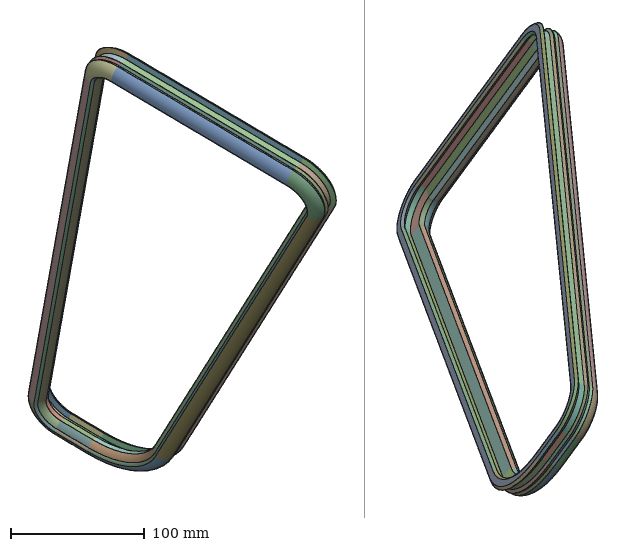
import cadquery as cq
import math

width = 274.0
height = 521.0
depth = 23.5

small_radius = 30.0
large_radius = 77.0
top_left_shift = 52.0
large_corner_shift = 29.5

left_center = small_radius
right_center = width - small_radius
top_center = height - small_radius

corners = [
    (left_center, small_radius, small_radius),
    (left_center + top_left_shift, top_center, small_radius),
    (right_center, top_center, small_radius),
    (left_center + large_corner_shift, large_radius, large_radius),
]

flange_width = 10.0
lip_tip = 2.0
lip_end = 4.5
back_inset = 2.0
groove_depth = 3.5
groove_front = 9.5
rib_inset = 1.0
rear_rib = 11.0
front_rib = 15.0
notch_inset = 2.5
notch = (rear_rib + front_rib) / 2
crest_inset = 11.0
nose_size = 2.0
nose_bulge = 0.25
inner_side = 16.5
inner_side_front = 15.5
inner_bulge = 0.5
shoulder_inset = 15.5
shoulder_back = 11.5


def tangent_angle(start, end):
    """Angle of the outward normal on the outer tangent line of two corners."""
    run = end[0] - start[0]
    rise = end[1] - start[1]
    lean = math.acos((start[2] - end[2]) / math.hypot(run, rise))
    return math.atan2(rise, run) + lean


def corner_point(corner, angle):
    x, z, radius = corner
    return (x + radius * math.cos(angle), z + radius * math.sin(angle))


def outer_outline():
    """Closed line of tangents and corner arcs, starting halfway up the left side."""
    next_corners = corners[1:] + corners[:1]
    normals = [tangent_angle(corner, following) for corner, following in zip(corners, next_corners)]
    side_bottom = corner_point(corners[0], normals[0])
    side_top = corner_point(corners[1], normals[0])
    start = ((side_bottom[0] + side_top[0]) / 2, (side_bottom[1] + side_top[1]) / 2)
    outline = cq.Workplane("XZ").moveTo(*start)
    for i in (1, 2, 3, 0):
        turn = (normals[i - 1] - normals[i]) % (2 * math.pi)
        outline = outline.lineTo(*corner_point(corners[i], normals[i - 1]))
        outline = outline.threePointArc(
            corner_point(corners[i], normals[i] + turn / 2),
            corner_point(corners[i], normals[i]),
        )
    return outline.close(), start, normals[0]


def section(plane):
    """Closed section; local x runs inward from the outline, local y runs to the front."""
    inner_floor = flange_width - groove_depth
    front_width = crest_inset - rib_inset
    front_height = depth - front_rib
    front_radius = (front_width**2 + front_height**2) / (2 * front_height)
    chord_angle = math.atan2(front_height, front_width)
    front_middle = (
        crest_inset - front_radius * math.sin(chord_angle),
        depth - front_radius * (1 - math.cos(chord_angle)),
    )
    return (
        cq.Workplane(plane)
        .moveTo(back_inset, 0)
        .lineTo(0, lip_tip)
        .lineTo(groove_depth, lip_end)
        .lineTo(groove_depth, groove_front)
        .lineTo(rib_inset, rear_rib)
        .lineTo(notch_inset, notch)
        .lineTo(rib_inset, front_rib)
        .threePointArc(front_middle, (crest_inset, depth))
        .sagittaArc((crest_inset + nose_size, depth - nose_size), nose_bulge)
        .sagittaArc((inner_side, inner_side_front), inner_bulge)
        .lineTo(shoulder_inset, shoulder_back)
        .lineTo(inner_floor, groove_front)
        .lineTo(inner_floor, lip_end)
        .lineTo(flange_width, lip_tip)
        .lineTo(flange_width - back_inset, 0)
        .close()
    )


outline, start, side_normal = outer_outline()
inward = (-math.cos(side_normal), 0, -math.sin(side_normal))
along = (inward[2], 0, -inward[0])
section_plane = cq.Plane(origin=(start[0], 0, start[1]), xDir=inward, normal=along)
result = section(section_plane).sweep(outline)